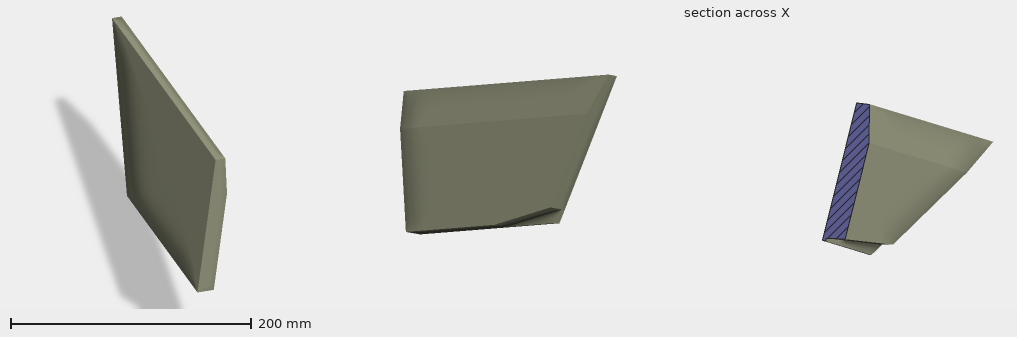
import cadquery as cq

top_left = cq.Vector(0, 236.0, 94.2)
top_right = cq.Vector(245.3, 31.2, 156.5)
bottom_right = cq.Vector(248.5, 0, 42.5)
bottom_left = cq.Vector(81.5, 139.5, 0)

top_thickness = 8.2
full_thickness = 14.0
facet_depth = 29.5
edge_lean = 0.19

relief_start = cq.Vector(154.0, 97.8, 15.7)
relief_end = cq.Vector(85.0, 158.0, 8.8)
lip_thickness = 2.0

left_end_step = cq.Vector(2.0, 2.4, 0)
right_end_step = cq.Vector(3.6, 4.4, 0)

overrun = 51.5
trim_size = 772.4

along = (top_right - top_left).normalized()
outward = along.cross(bottom_right - top_right).normalized()
down = outward.cross(along)


def plate_bar():
    """Bar with the plate cross-section, longer than the plate at both ends."""
    height = (bottom_right - top_right).dot(down)
    section = cq.Plane(origin=top_left - along * overrun, xDir=down, normal=along)
    outline = [
        (0, 0),
        (-edge_lean * top_thickness, top_thickness),
        (facet_depth, full_thickness),
        (height - edge_lean * full_thickness, full_thickness),
        (height, 0),
    ]
    length = (top_right - top_left).Length + 2 * overrun
    return cq.Workplane(section).polyline(outline).close().extrude(length)


def trim(body, point, first_edge, second_edge):
    """Remove the side of a plane that first_edge x second_edge points to."""
    plane = cq.Plane(origin=point, xDir=first_edge, normal=first_edge.cross(second_edge))
    block = cq.Workplane(plane).rect(trim_size, trim_size).extrude(trim_size)
    return body.cut(block)


plate = plate_bar()
plate = trim(plate, top_left, left_end_step, bottom_left - top_left)
plate = trim(plate, top_right, bottom_right - top_right, right_end_step)

relieved_plate = trim(plate, relief_end, relief_start - relief_end, left_end_step * -1)
lip = trim(plate, bottom_left + outward * lip_thickness, down, along * -1)
result = relieved_plate.union(lip)